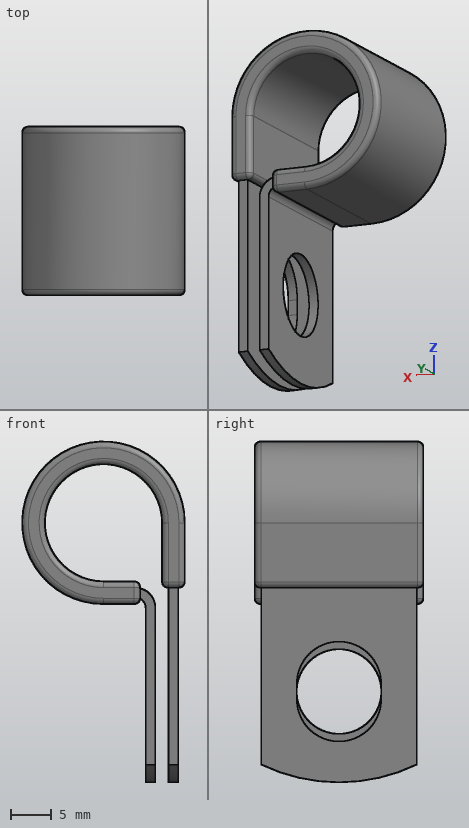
import cadquery as cq
import math


STRAP_THICKNESS = 1.2141
STRAP_WIDTH = 19.05
BEND_INNER_RADIUS = STRAP_THICKNESS
LEG_GAP = 1.5875

BORE_RADIUS = 7.14375
CUSHION_COVER = 0.79375
CUSHION_WIDTH = STRAP_WIDTH + 2 * CUSHION_COVER
CUSHION_FILLET = 0.75
SIDE_END_DROP = 7.9375
BOTTOM_END_REACH = 4.48

OVERALL_HEIGHT = 41.67
HOLE_DIAMETER = 10.32
SLOT_HEIGHT = 12.2
SLOT_ANGLE = 90
HOLE_EDGE_DISTANCE = 11.11
TIP_RISE = 2.19

STRAP_INNER_RADIUS = BORE_RADIUS + CUSHION_COVER
STRAP_OUTER_RADIUS = STRAP_INNER_RADIUS + STRAP_THICKNESS
CUSHION_OUTER_RADIUS = STRAP_OUTER_RADIUS + CUSHION_COVER
BOTTOM_Z = CUSHION_OUTER_RADIUS - OVERALL_HEIGHT
BENT_LEG_OUTER_X = STRAP_INNER_RADIUS - LEG_GAP
BEND_OUTER_RADIUS = BEND_INNER_RADIUS + STRAP_THICKNESS
BEND_START_X = BENT_LEG_OUTER_X - BEND_OUTER_RADIUS


def loop_profile(inner_radius, outer_radius, side_drop, bottom_reach):
    """Three-quarter ring, extended straight down on +X and straight along +X at the bottom."""
    diagonal = math.sqrt(0.5)
    return (
        cq.Workplane("XZ")
        .moveTo(outer_radius, -side_drop)
        .lineTo(outer_radius, 0)
        .threePointArc((-outer_radius * diagonal, outer_radius * diagonal), (0, -outer_radius))
        .lineTo(bottom_reach, -outer_radius)
        .lineTo(bottom_reach, -inner_radius)
        .lineTo(0, -inner_radius)
        .threePointArc((-inner_radius * diagonal, inner_radius * diagonal), (inner_radius, 0))
        .lineTo(inner_radius, -side_drop)
        .close()
    )


def make_cushion():
    """Cushion around the loop with every edge rounded."""
    profile = loop_profile(BORE_RADIUS, CUSHION_OUTER_RADIUS, SIDE_END_DROP, BOTTOM_END_REACH)
    return profile.extrude(CUSHION_WIDTH / 2, both=True).edges().fillet(CUSHION_FILLET)


def make_bent_leg():
    """Quarter bend from the bottom of the loop, then the leg running down."""
    bend_end_z = -STRAP_INNER_RADIUS - BEND_OUTER_RADIUS
    leg_inner_x = BENT_LEG_OUTER_X - STRAP_THICKNESS
    return (
        cq.Workplane("XZ")
        .moveTo(BEND_START_X, -STRAP_INNER_RADIUS)
        .radiusArc((BENT_LEG_OUTER_X, bend_end_z), BEND_OUTER_RADIUS)
        .lineTo(BENT_LEG_OUTER_X, BOTTOM_Z)
        .lineTo(leg_inner_x, BOTTOM_Z)
        .lineTo(leg_inner_x, bend_end_z)
        .radiusArc((BEND_START_X, -STRAP_OUTER_RADIUS), -BEND_INNER_RADIUS)
        .close()
        .extrude(STRAP_WIDTH / 2, both=True)
    )


def make_strap():
    """Strap loop with its straight leg on +X and its bent leg at the bottom."""
    profile = loop_profile(STRAP_INNER_RADIUS, STRAP_OUTER_RADIUS, -BOTTOM_Z, BEND_START_X)
    return profile.extrude(STRAP_WIDTH / 2, both=True).union(make_bent_leg())


def make_leg_outline():
    """Block along X, as wide as the strap, whose arched lower end shapes the leg tips."""
    half_width = STRAP_WIDTH / 2
    corner_z = BOTTOM_Z + TIP_RISE
    return (
        cq.Workplane("YZ")
        .moveTo(-half_width, CUSHION_OUTER_RADIUS)
        .lineTo(-half_width, corner_z)
        .threePointArc((0, BOTTOM_Z), (half_width, corner_z))
        .lineTo(half_width, CUSHION_OUTER_RADIUS)
        .close()
        .extrude(CUSHION_OUTER_RADIUS, both=True)
    )


def make_bolt_openings():
    """Cutter with a round hole for the bent leg and a taller slot for the straight leg."""
    between_legs_x = BENT_LEG_OUTER_X + LEG_GAP / 2
    hole_z = BOTTOM_Z + HOLE_EDGE_DISTANCE
    hole = cq.Workplane("YZ").center(0, hole_z).circle(HOLE_DIAMETER / 2).extrude(between_legs_x)
    slot = (
        cq.Workplane("YZ", origin=(between_legs_x, 0, hole_z))
        .slot2D(SLOT_HEIGHT, HOLE_DIAMETER, SLOT_ANGLE)
        .extrude(CUSHION_OUTER_RADIUS - between_legs_x)
    )
    return hole.union(slot)


strap = make_strap().intersect(make_leg_outline()).cut(make_bolt_openings())
result = make_cushion().union(strap)